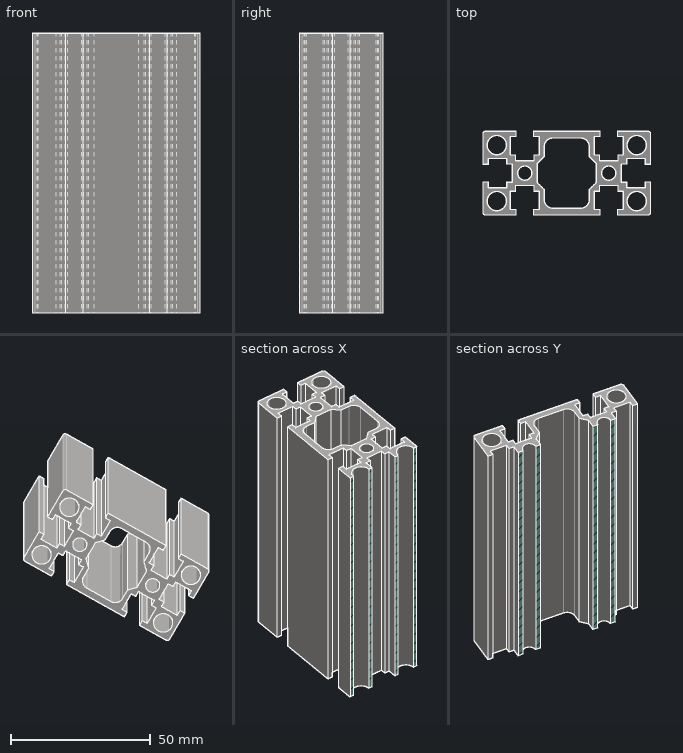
import cadquery as cq

module = 30.0
width = 2 * module
depth = module
length = 100.0
corner_radius = 1.0

core_size = 9.0
core_x = module / 2

slot_opening = 6.2
lip_thickness = 2.0
slot_inner_width = 10.3
slot_inner_depth = 8.5
slot_neck_width = 6.5
slot_depth = (module - core_size) / 2

corner_hole_diameter = 6.8
corner_hole_inset = 5.0
core_hole_diameter = 5.0

chamber_half_width = 8.0
chamber_half_height = 12.5
chamber_radius = 3.0
bay_half_width = core_x - core_size / 2
bay_half_height = 3.4
bay_slope = bay_half_width - chamber_half_width


def box_through(x_size, y_size):
    """Full-length rectangular prism centred on the Z axis."""
    return cq.Workplane("XY").rect(x_size, y_size).extrude(length)


def slot_cutter():
    """T-slot opening onto the +Y side, with its outer face on Y = 0."""
    steps = [
        (slot_opening, 0, lip_thickness),
        (slot_inner_width, lip_thickness, slot_inner_depth),
        (slot_neck_width, slot_inner_depth, slot_depth),
    ]
    cutter = cq.Workplane("XY")
    for step_width, near, far in steps:
        step = box_through(step_width, far - near)
        cutter = cutter.union(step.translate((0, -(near + far) / 2, 0)))
    return cutter


def through_holes(centres, diameter):
    """Full-length cylinders at the given centres."""
    return cq.Workplane("XY").pushPoints(centres).circle(diameter / 2).extrude(length)


def chamber_cutter():
    """Rounded central chamber joined with an octagon that forms both side bays."""
    chamber = box_through(2 * chamber_half_width, 2 * chamber_half_height)
    chamber = chamber.edges("|Z").fillet(chamber_radius)
    right_side = [
        (chamber_half_width, -bay_half_height - bay_slope),
        (bay_half_width, -bay_half_height),
        (bay_half_width, bay_half_height),
        (chamber_half_width, bay_half_height + bay_slope),
    ]
    left_side = [(-x, -y) for x, y in right_side]
    bays = cq.Workplane("XY").polyline(right_side + left_side).close().extrude(length)
    return chamber.union(bays)


result = box_through(width, depth).edges("|Z").fillet(corner_radius)

for x in (-core_x, core_x):
    for turn in (0, 180):
        slot = slot_cutter().translate((x, depth / 2, 0))
        result = result.cut(slot.rotate((0, 0, 0), (0, 0, 1), turn))

for turn in (90, -90):
    slot = slot_cutter().translate((0, width / 2, 0))
    result = result.cut(slot.rotate((0, 0, 0), (0, 0, 1), turn))

hole_x = width / 2 - corner_hole_inset
hole_y = depth / 2 - corner_hole_inset
corner_centres = [(x, y) for x in (-hole_x, hole_x) for y in (-hole_y, hole_y)]
result = result.cut(through_holes(corner_centres, corner_hole_diameter))
result = result.cut(through_holes([(-core_x, 0), (core_x, 0)], core_hole_diameter))
result = result.cut(chamber_cutter())